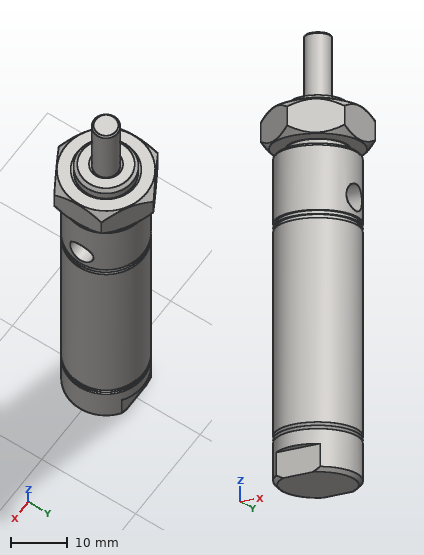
import cadquery as cq
import math

total_height = 83.3

rod_diameter = 5.0
rod_chamfer = 0.3
rod_insertion = 12.5

barrel_diameter = 15.8
barrel_top = 60.9
barrel_top_chamfer = 0.5
barrel_foot_chamfer = 0.75

tooth_depth = 0.4
upper_teeth_bottom = 46.9
upper_tooth_height = 0.75
lower_teeth_bottom = 7.75
lower_tooth_height = 0.625
teeth_per_band = 2

flats_width = 12.9
flats_height = 5.0

port_diameter = 5.0
port_height = 51.9
port_depth = 3.3

nose_diameter = 11.4
nose_top = 70.65
nose_chamfer = 0.7
neck_diameter = 11.0
mouth_chamfer = 0.5

nut_across_flats = 17.5
nut_bottom = 62.3
nut_thickness = 6.5
nut_face_diameter = 17.25
nut_corner_drop = 1.5
nut_bore_chamfer = 0.5

barrel_radius = barrel_diameter / 2
rod_bottom = nose_top - rod_insertion


def cylinder(diameter, bottom, top):
    return cq.Workplane("XY").workplane(offset=bottom).circle(diameter / 2).extrude(top - bottom)


def sawtooth_band(bottom, tooth_height, deep_end_up):
    """List of stacked conical cuts, each deepest at its top end or at its bottom end."""
    teeth = []
    for i in range(teeth_per_band):
        low = bottom + i * tooth_height
        high = low + tooth_height
        deep_height = high if deep_end_up else low
        profile = [
            (barrel_radius, low),
            (barrel_radius - tooth_depth, deep_height),
            (barrel_radius, high),
        ]
        tooth = cq.Workplane("XZ").polyline(profile).close().revolve(360, (0, 0, 0), (0, 1, 0))
        teeth.append(tooth)
    return teeth


def wrench_flats():
    """Stock around the foot that cuts the flats on the -Y and +Y sides."""
    stock = cq.Workplane("XY").rect(2 * barrel_diameter, 2 * barrel_diameter).extrude(flats_height)
    kept = cq.Workplane("XY").rect(2 * barrel_diameter, flats_width).extrude(flats_height)
    return stock.cut(kept)


def side_port():
    return (
        cq.Workplane("YZ")
        .workplane(offset=barrel_radius - port_depth)
        .center(0, port_height)
        .circle(port_diameter / 2)
        .extrude(port_depth)
    )


def make_housing():
    barrel = cylinder(barrel_diameter, 0, barrel_top)
    barrel = barrel.faces(">Z").chamfer(barrel_top_chamfer)
    barrel = barrel.faces("<Z").chamfer(barrel_foot_chamfer)
    upper_band = sawtooth_band(upper_teeth_bottom, upper_tooth_height, deep_end_up=True)
    lower_band = sawtooth_band(lower_teeth_bottom, lower_tooth_height, deep_end_up=False)
    for tooth in upper_band + lower_band:
        barrel = barrel.cut(tooth)
    barrel = barrel.cut(wrench_flats()).cut(side_port())

    neck = cylinder(neck_diameter, barrel_top, nut_bottom)
    nose = cylinder(nose_diameter, nut_bottom, nose_top).faces(">Z").chamfer(nose_chamfer)
    body = barrel.union(neck).union(nose)

    body = body.cut(cylinder(rod_diameter, rod_bottom, nose_top))
    return body.faces(">Z").edges("%CIRCLE").edges(cq.selectors.RadiusNthSelector(0)).chamfer(mouth_chamfer)


def make_rod():
    return cylinder(rod_diameter, rod_bottom, total_height).faces(">Z").chamfer(rod_chamfer)


def make_nut():
    corner_diameter = nut_across_flats / math.cos(math.pi / 6)
    bevel_width = (corner_diameter - nut_face_diameter) / 2
    hexagon = (
        cq.Workplane("XY")
        .workplane(offset=nut_bottom)
        .polygon(6, corner_diameter)
        .extrude(nut_thickness)
        .rotate((0, 0, 0), (0, 0, 1), 30)
    )
    envelope = (
        cylinder(corner_diameter, nut_bottom, nut_bottom + nut_thickness)
        .faces("<Z").chamfer(nut_corner_drop, bevel_width)
        .faces(">Z").chamfer(nut_corner_drop, bevel_width)
    )
    nut = hexagon.intersect(envelope).cut(cylinder(nose_diameter, nut_bottom, nut_bottom + nut_thickness))
    return nut.faces(">Z").edges(cq.selectors.RadiusNthSelector(0)).chamfer(nut_bore_chamfer)


housing = make_housing()
rod = make_rod()
nut = make_nut()

result = cq.Compound.makeCompound([housing.val(), rod.val(), nut.val()])